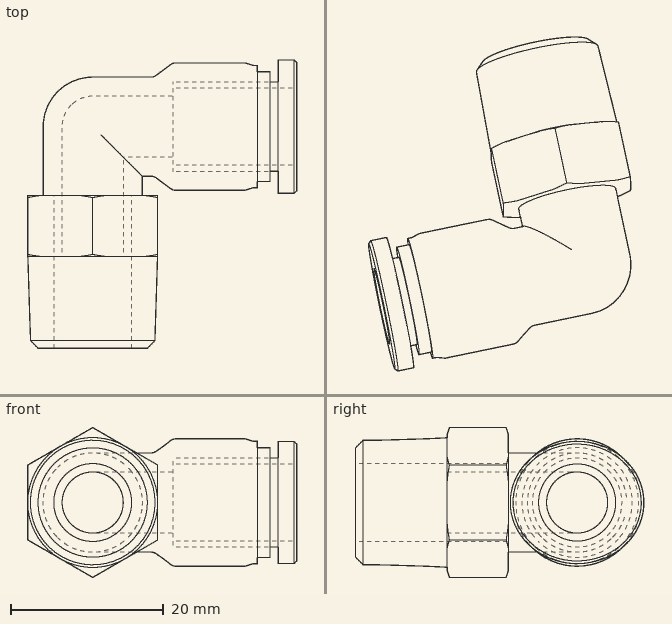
import cadquery as cq
import math


elbow_diameter = 13.0
bore_diameter = 8.0
spigot_diameter = 10.2
neck_end_x = 8.0
socket_start_x = 10.5
socket_diameter = 16.7
socket_blend_radius = 1.0
socket_taper_x = 19.95
socket_rim_x = 21.0
socket_rim_diameter = 16.05
socket_end_x = 21.55
collar_diameter = 14.4
collar_end_x = 23.2

nut_start_y = -9.0
hex_width = 17.0
hex_length = 8.0
hex_chamfer_diameter = 17.9
hex_chamfer_height = 0.28
thread_length = 12.0
thread_root_diameter = hex_width
thread_taper = 1 / 16
thread_chamfer = 1.0

sleeve_diameter = 11.7
sleeve_bore_diameter = 10.1
flange_start_x = 24.25
flange_end_x = 26.7
flange_width = 17.5
flange_height = 16.0
flange_chamfer = 0.35

hex_corner_diameter = hex_width / math.cos(math.radians(30))
nut_thread_y = nut_start_y - hex_length
nut_end_y = nut_thread_y - thread_length


def cylinder_x(diameter, start_x, end_x):
    return cq.Workplane("YZ", origin=(start_x, 0, 0)).circle(diameter / 2).extrude(end_x - start_x)


def cylinder_y(diameter, start_y, end_y):
    """Cylinder along -Y, from start_y down to end_y."""
    return cq.Workplane("XZ", origin=(0, start_y, 0)).circle(diameter / 2).extrude(start_y - end_y)


def revolve_about_x(points):
    """Turn an outline of (x, radius) points about the X axis."""
    return cq.Workplane("XY").polyline(points).close().revolve(360, (0, 0, 0), (1, 0, 0))


def revolve_about_y(points):
    """Turn an outline of (radius, y) points about the Y axis."""
    return cq.Workplane("XY").polyline(points).close().revolve(360, (0, 0, 0), (0, 1, 0))


def round_elbow(diameter, tube_leg, end_y):
    """Join a tube leg along X to a cylinder along -Y, with a ball closing the outer corner."""
    ball = cq.Workplane("XY").sphere(diameter / 2)
    return tube_leg.union(cylinder_y(diameter, 0, end_y)).union(ball)


def tube_socket():
    """Turned outside of the tube leg, from the elbow corner to the collar."""
    socket = revolve_about_x([
        (0, 0),
        (0, elbow_diameter / 2),
        (neck_end_x, elbow_diameter / 2),
        (socket_start_x, socket_diameter / 2),
        (socket_taper_x, socket_diameter / 2),
        (socket_rim_x, socket_rim_diameter / 2),
        (socket_end_x, socket_rim_diameter / 2),
        (socket_end_x, collar_diameter / 2),
        (collar_end_x, collar_diameter / 2),
        (collar_end_x, 0),
    ])
    margin = 0.1
    cone_ends = cq.selectors.BoxSelector(
        (neck_end_x - margin, -socket_diameter, -socket_diameter),
        (socket_start_x + margin, socket_diameter, socket_diameter),
    )
    return socket.edges("%CIRCLE").edges(cone_ends).fillet(socket_blend_radius)


def make_housing():
    outside = round_elbow(elbow_diameter, tube_socket(), nut_start_y)
    spigot = cylinder_y(spigot_diameter, nut_start_y, nut_thread_y)
    tube_bore = cylinder_x(bore_diameter, 0, collar_end_x)
    bore = round_elbow(bore_diameter, tube_bore, nut_thread_y)
    sleeve_seat = cylinder_x(sleeve_diameter, socket_start_x, collar_end_x)
    return outside.union(spigot).cut(bore).cut(sleeve_seat)


def make_nut():
    hexagon = (
        cq.Workplane("XZ", origin=(0, nut_start_y, 0))
        .transformed(rotate=(0, 0, 90))
        .polygon(6, hex_corner_diameter)
        .extrude(hex_length)
    )
    chamfer_envelope = revolve_about_y([
        (0, nut_start_y),
        (hex_chamfer_diameter / 2, nut_start_y),
        (hex_corner_diameter / 2, nut_start_y - hex_chamfer_height),
        (hex_corner_diameter / 2, nut_thread_y + hex_chamfer_height),
        (hex_chamfer_diameter / 2, nut_thread_y),
        (0, nut_thread_y),
    ])
    taper_length = thread_length - thread_chamfer
    taper_end_diameter = thread_root_diameter - taper_length * thread_taper
    thread_end_diameter = taper_end_diameter - 2 * thread_chamfer
    thread = revolve_about_y([
        (0, nut_thread_y),
        (thread_root_diameter / 2, nut_thread_y),
        (taper_end_diameter / 2, nut_end_y + thread_chamfer),
        (thread_end_diameter / 2, nut_end_y),
        (0, nut_end_y),
    ])
    bore = cylinder_y(spigot_diameter, nut_start_y, nut_end_y)
    return hexagon.intersect(chamfer_envelope).union(thread).cut(bore)


def make_release_sleeve():
    flange = (
        cq.Workplane("YZ", origin=(flange_start_x, 0, 0))
        .ellipse(flange_width / 2, flange_height / 2)
        .extrude(flange_end_x - flange_start_x)
        .faces(">X")
        .chamfer(flange_chamfer)
    )
    neck = cylinder_x(sleeve_diameter, socket_start_x, flange_start_x)
    bore = cylinder_x(sleeve_bore_diameter, socket_start_x, flange_end_x)
    return flange.union(neck).cut(bore)


housing = make_housing()
nut = make_nut()
release_sleeve = make_release_sleeve()

result = cq.Compound.makeCompound([body.solids().val() for body in (housing, nut, release_sleeve)])